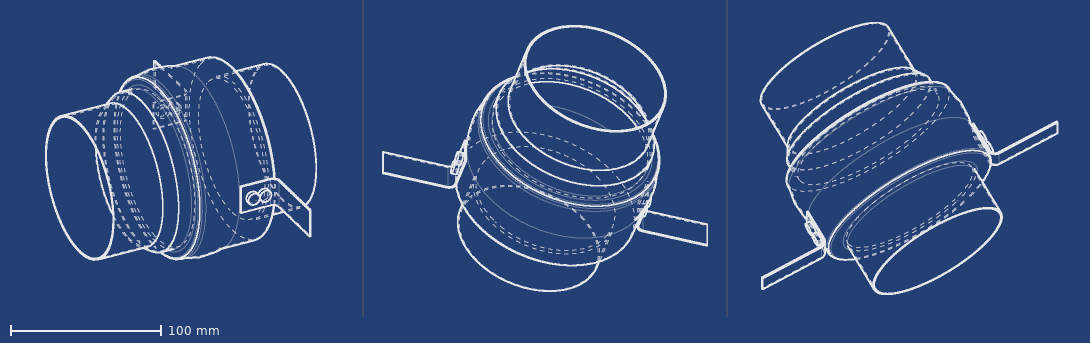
import cadquery as cq
import math

length = 152.0
wall = 1.0
pipe_radius = 49.5
neck_radius = 55.2
body_radius = 63.0
bulge_radius = 65.0

cone_front = 36.8
cone_rear = 45.7
body_front = 57.2
bulge_front = 61.9
bulge_rear = 87.3
body_rear = 115.0
bulge_middle = (bulge_front + bulge_rear) / 2
corner_radius = 2.0

strap_span = 226.0
strap_width = 20.0
strap_thickness = 1.0
strap_bend_radius = 4.0
strap_front = 88.0
leg_inner = body_radius
leg_outer = leg_inner + strap_thickness
strap_tip = strap_span / 2

head_diameter = 8.5
head_height = 3.2
head_spacing = 8.8
head_middle = 100.5


def turned_form(inset):
    """Solid of revolution whose surface lies the given inset inside the housing's outer surface."""
    cone_angle = math.atan2(neck_radius - pipe_radius, cone_rear - cone_front)
    cone_shift = inset * math.tan(cone_angle / 2)
    pipe = pipe_radius - inset
    neck = neck_radius - inset
    body = body_radius - inset
    front = body_front + inset
    rear = body_rear - inset
    return (
        cq.Workplane("ZY")
        .moveTo(0, 0)
        .lineTo(pipe, 0)
        .lineTo(pipe, cone_front + cone_shift)
        .lineTo(neck, cone_rear + cone_shift)
        .lineTo(neck, front)
        .lineTo(body, front)
        .lineTo(body, bulge_front)
        .threePointArc((bulge_radius - inset, bulge_middle), (body, bulge_rear))
        .lineTo(body, rear)
        .lineTo(pipe, rear)
        .lineTo(pipe, length)
        .lineTo(0, length)
        .close()
        .revolve(360, (0, 0, 0), (0, 1, 0))
    )


def make_housing():
    """Thin-walled shell, open at both mouths, with rounded outer shoulders and plain inner corners."""
    outside = turned_form(0)
    shoulder_faces = outside.faces("|Y").faces("not(<Y or >Y)")
    rounded = shoulder_faces.edges().fillet(corner_radius)
    return rounded.cut(turned_form(wall)).solids()


def make_strap(side):
    """Bent strap with two rivet heads; side is +1 or -1 along X."""
    inner_bend = strap_bend_radius
    outer_bend = strap_bend_radius + strap_thickness
    arm_front = body_rear - strap_thickness
    strip = (
        cq.Workplane("XY")
        .moveTo(side * leg_inner, strap_front)
        .lineTo(side * leg_inner, body_rear - outer_bend)
        .radiusArc((side * (leg_inner + outer_bend), body_rear), side * outer_bend)
        .lineTo(side * strap_tip, body_rear)
        .lineTo(side * strap_tip, arm_front)
        .lineTo(side * (leg_outer + inner_bend), arm_front)
        .radiusArc((side * leg_outer, arm_front - inner_bend), -side * inner_bend)
        .lineTo(side * leg_outer, strap_front)
        .close()
        .extrude(strap_width / 2, both=True)
    )
    heads = (
        cq.Workplane("YZ", origin=(side * leg_outer, head_middle, 0))
        .pushPoints([(-head_spacing / 2, 0), (head_spacing / 2, 0)])
        .circle(head_diameter / 2)
        .extrude(side * head_height)
    )
    return strip.union(heads).solids()


housing = make_housing()
straps = [make_strap(side) for side in (-1, 1)]

result = cq.Compound.makeCompound([housing.val(), *[strap.val() for strap in straps]])